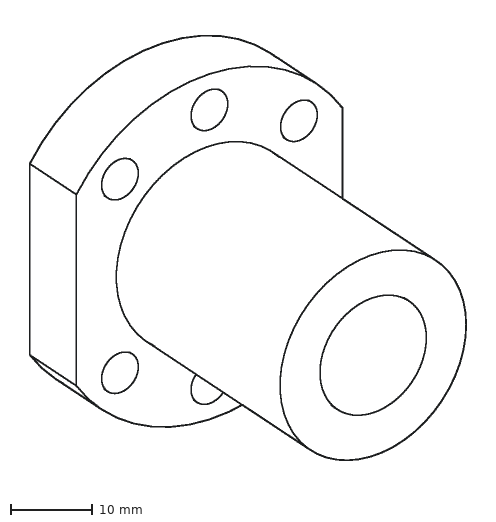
import cadquery as cq

total_length = 45.0
flange_diameter = 48.0
flange_width = 40.0
flange_thickness = 10.0
body_diameter = 28.0
bore_diameter = 16.0

hole_diameter = 5.5
hole_circle_radius = 19.0
hole_spacing_angle = 45.0
holes_per_group = 3


def make_flange():
    """Round flange with two flats facing -Y and +Y."""
    disc = cq.Workplane("YZ").circle(flange_diameter / 2).extrude(flange_thickness)
    flats = cq.Workplane("YZ").rect(flange_width, flange_diameter).extrude(flange_thickness)
    return disc.intersect(flats)


def make_body():
    """Cylindrical sleeve running the full length."""
    return cq.Workplane("YZ").circle(body_diameter / 2).extrude(total_length)


def make_bore():
    """Through bore along the axis."""
    return cq.Workplane("YZ").circle(bore_diameter / 2).extrude(total_length)


def make_hole_group(centre_angle):
    """Cutters for three flange holes spread evenly about the given angle."""
    group_span = hole_spacing_angle * (holes_per_group - 1)
    return (
        cq.Workplane("YZ")
        .polarArray(hole_circle_radius, centre_angle - group_span / 2, group_span, holes_per_group)
        .circle(hole_diameter / 2)
        .extrude(flange_thickness)
    )


result = make_flange().union(make_body()).cut(make_bore())
for group_angle in (90, 270):
    result = result.cut(make_hole_group(group_angle))